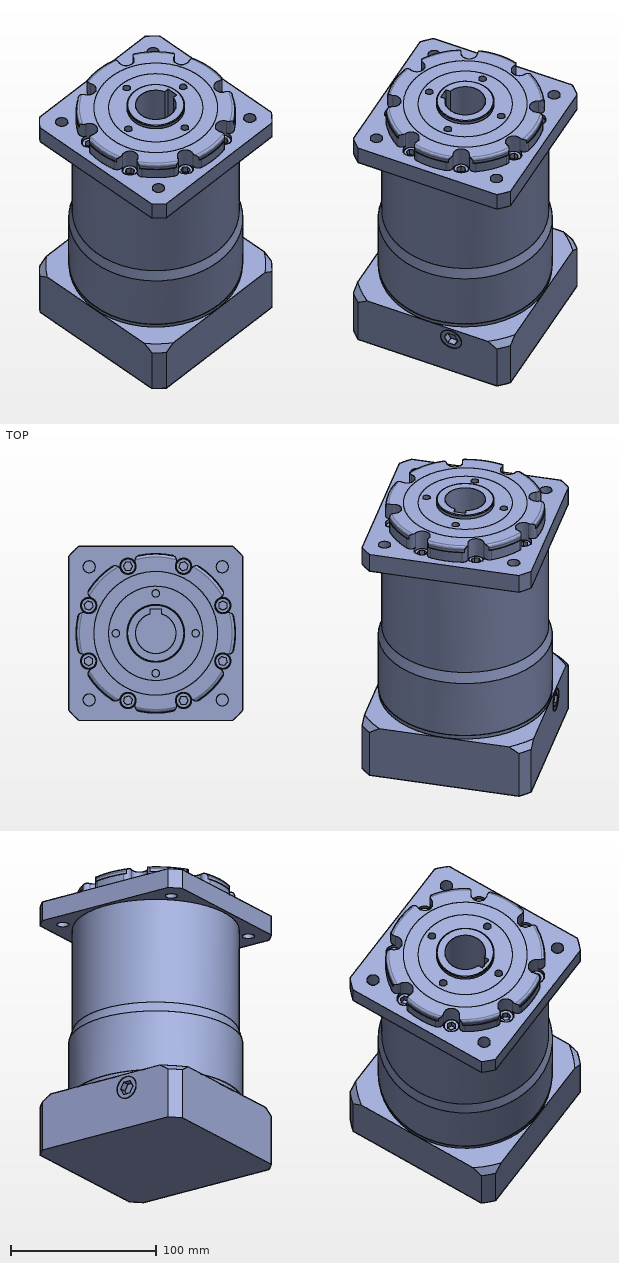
import cadquery as cq
import math

square_side = 120.0
corner_radius = 80.0
total_height = 199.0

adapter_height = 40.0
adapter_corner_chamfer = 4.4

plug_radius = 8.0
plug_y = -18.0
plug_z = 30.0
plug_length = 10.0
plug_recess = 0.4
plug_hex_width = 9.0
plug_hex_depth = 5.0

foot_top = 43.0
foot_radius = 59.7
wide_radius = square_side / 2
cone_bottom = 86.4
cone_top = 94.0
barrel_radius = 57.5

flange_bottom = 170.0
flange_top = 183.9
mount_hole_radius = 4.2
mount_hole_offset = 45.8

boss_top = 196.0
boss_radius = 55.0
boss_step_height = 191.8
boss_step_radius = 54.5
boss_top_fillet = 2.0

notch_count = 8
notch_circle_radius = 50.0
notch_radius = 5.5
lobe_corner_radius = 4.0
notch_overrun = 1.1

screw_seat_radius = notch_radius
screw_head_depth = 2.0
screw_head_chamfer = 0.5
screw_hex_width = 5.5
screw_hex_depth = 5.0
screw_hex_turn = 7.5

seal_radius = 42.5
seal_thickness = 10.0

shaft_radius = 32.5
shaft_length = 79.6
hub_radius = 19.9
hub_chamfer = 0.5
bore_radius = 14.0
key_width = 8.0
key_reach = 16.7

tap_count = 4
tap_circle_radius = 27.5
tap_radius = 2.5
tap_depth = 10.0


def level(height):
    """Horizontal workplane at the given height."""
    return cq.Workplane("XY").workplane(offset=height)


def cylinder(radius, bottom, top):
    return level(bottom).circle(radius).extrude(top - bottom)


def square_block(bottom, top):
    return level(bottom).rect(square_side, square_side).extrude(top - bottom)


def hexagon_diameter(across_flats):
    """Diameter across the corners of a hexagon."""
    return across_flats / math.cos(math.pi / 6)


def polar_point(radius, angle):
    return (radius * math.cos(angle), radius * math.sin(angle))


def mirrored(point):
    return (point[0], -point[1])


def turn_about_axis(shape, angle):
    return shape.rotate((0, 0, 0), (0, 0, 1), angle)


def plug_plane(depth):
    """Workplane facing +X, at the given depth behind the -X face of the adapter."""
    origin = (depth - square_side / 2, plug_y, plug_z)
    return cq.Workplane(cq.Plane(origin=origin, xDir=(0, 1, 0), normal=(1, 0, 0)))


def make_adapter():
    turned = cylinder(corner_radius, 0, adapter_height).faces(">Z").chamfer(adapter_corner_chamfer)
    plug_hole = plug_plane(0).circle(plug_radius).extrude(plug_recess + plug_length)
    return square_block(0, adapter_height).intersect(turned).cut(plug_hole)


def make_plug():
    body = plug_plane(plug_recess).circle(plug_radius).extrude(plug_length)
    socket = plug_plane(plug_recess).polygon(6, hexagon_diameter(plug_hex_width)).extrude(plug_hex_depth)
    return body.cut(socket)


def make_round_body():
    return (
        cq.Workplane("XZ")
        .moveTo(0, adapter_height)
        .lineTo(foot_radius, adapter_height)
        .lineTo(foot_radius, foot_top)
        .lineTo(wide_radius, foot_top)
        .lineTo(wide_radius, cone_bottom)
        .lineTo(barrel_radius, cone_top)
        .lineTo(barrel_radius, flange_bottom)
        .lineTo(0, flange_bottom)
        .close()
        .revolve()
    )


def make_flange():
    plate = square_block(flange_bottom, flange_top).intersect(
        cylinder(corner_radius, flange_bottom, flange_top)
    )
    spacing = 2 * mount_hole_offset
    holes = (
        level(flange_bottom)
        .rect(spacing, spacing, forConstruction=True)
        .vertices()
        .circle(mount_hole_radius)
        .extrude(flange_top - flange_bottom)
    )
    return plate.cut(holes)


def notch_angles():
    pitch = 360 / notch_count
    return [pitch * (index + 0.5) for index in range(notch_count)]


def make_notch():
    """Round notch on the +X axis that flows into the rounded corners of the lobes beside it."""
    corner_distance = boss_radius - lobe_corner_radius
    center_gap = notch_radius + lobe_corner_radius
    corner_angle = math.acos(
        (corner_distance**2 + notch_circle_radius**2 - center_gap**2)
        / (2 * corner_distance * notch_circle_radius)
    )
    corner_center = polar_point(corner_distance, corner_angle)

    join_angle = math.atan2(corner_center[1], corner_center[0] - notch_circle_radius)
    join_offset = polar_point(notch_radius, join_angle)
    join = (notch_circle_radius + join_offset[0], join_offset[1])

    middle_angle = (join_angle - math.pi + corner_angle) / 2
    middle_offset = polar_point(lobe_corner_radius, middle_angle)
    middle = (corner_center[0] + middle_offset[0], corner_center[1] + middle_offset[1])

    rim = polar_point(boss_radius, corner_angle)
    outside = polar_point(boss_radius * notch_overrun, corner_angle)
    notch_bottom = (notch_circle_radius - notch_radius, 0)
    return (
        level(flange_top)
        .moveTo(*outside)
        .lineTo(*rim)
        .threePointArc(middle, join)
        .threePointArc(notch_bottom, mirrored(join))
        .threePointArc(mirrored(middle), mirrored(rim))
        .lineTo(*mirrored(outside))
        .close()
        .extrude(boss_top - flange_top)
    )


def make_boss():
    lower = cylinder(boss_radius, flange_top, boss_step_height)
    upper = cylinder(boss_step_radius, boss_step_height, boss_top).faces(">Z").edges().fillet(boss_top_fillet)
    boss = lower.union(upper)
    notch = make_notch()
    for angle in notch_angles():
        boss = boss.cut(turn_about_axis(notch, angle))
    return boss


def make_screw_recess():
    """Round seat on the +X axis that leaves a chamfered screw head with a hexagon socket at its foot."""
    head_top = flange_top - screw_head_depth
    seat = (
        cq.Workplane("XZ")
        .moveTo(0, flange_top)
        .lineTo(screw_seat_radius, flange_top)
        .lineTo(screw_seat_radius, head_top - screw_head_chamfer)
        .lineTo(screw_seat_radius - screw_head_chamfer, head_top)
        .lineTo(0, head_top)
        .close()
        .revolve()
    )
    socket = level(head_top).polygon(6, hexagon_diameter(screw_hex_width)).extrude(-screw_hex_depth)
    socket = turn_about_axis(socket, screw_hex_turn)
    return seat.union(socket).translate((notch_circle_radius, 0, 0))


def make_housing():
    housing = make_round_body().union(make_flange()).union(make_boss())
    recess = make_screw_recess()
    for angle in notch_angles():
        housing = housing.cut(turn_about_axis(recess, angle))
    seal_seat = cylinder(seal_radius, boss_top - seal_thickness, boss_top)
    shaft_seat = cylinder(shaft_radius, boss_top - shaft_length, boss_top)
    return housing.cut(seal_seat).cut(shaft_seat)


def make_seal():
    return level(boss_top - seal_thickness).circle(seal_radius).circle(shaft_radius).extrude(seal_thickness)


def make_shaft():
    bottom = boss_top - shaft_length
    hub = cylinder(hub_radius, boss_top, total_height).faces(">Z").edges().chamfer(hub_chamfer)
    bore = cylinder(bore_radius, bottom, total_height)
    keyway = level(bottom).center(0, key_reach / 2).rect(key_width, key_reach).extrude(total_height - bottom)
    taps = (
        level(boss_top - tap_depth)
        .polarArray(tap_circle_radius, 0, 360, tap_count)
        .circle(tap_radius)
        .extrude(tap_depth)
    )
    return cylinder(shaft_radius, bottom, boss_top).union(hub).cut(bore).cut(keyway).cut(taps)


adapter = make_adapter()
plug = make_plug()
housing = make_housing()
seal = make_seal()
shaft = make_shaft()

result = cq.Compound.makeCompound([adapter.val(), plug.val(), housing.val(), seal.val(), shaft.val()])